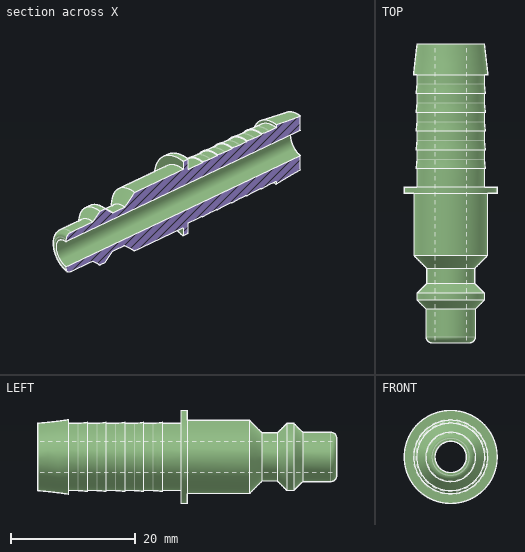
import cadquery as cq
import math

total_length = 48.0
bore_radius = 2.5

stem_radius = 5.4
barb_length = 5.0
barb_radius = 6.0
rib_count = 5
rib_length = 1.5
rib_radius = 5.55
first_rib_start = 6.5
last_rib_end = 20.0
rib_pitch = (last_rib_end - rib_length - first_rib_start) / (rib_count - 1)

flange_start = 23.0
flange_thickness = 1.0
flange_radius = 7.5
body_radius = 5.9
body_end = 34.0

neck_radius = 3.9
collar_radius = 5.4
collar_start = 40.0
collar_width = 1.1
tip_radius = 4.0
tip_rounding = 1.0

flange_end = flange_start + flange_thickness
neck_start = body_end + body_radius - neck_radius
neck_end = collar_start - (collar_radius - neck_radius)
collar_end = collar_start + collar_width
tip_start = collar_end + collar_radius - tip_radius


def profile_point(radius, station):
    """Point of the half section, with the part centred along Y."""
    return (radius, total_length / 2 - station)


def hose_tail_points():
    """Outer outline from the hose end to the flange: one barb, then saw-tooth ribs."""
    outline = [
        (stem_radius, 0),
        (barb_radius, barb_length),
        (stem_radius, barb_length),
    ]
    for index in range(rib_count):
        rib_start = first_rib_start + index * rib_pitch
        rib_end = rib_start + rib_length
        outline += [(stem_radius, rib_start), (rib_radius, rib_end), (stem_radius, rib_end)]
    outline.append((stem_radius, flange_start))
    return outline


def plug_points():
    """Outer outline from the flange to the start of the tip rounding."""
    return [
        (flange_radius, flange_start),
        (flange_radius, flange_end),
        (body_radius, flange_end),
        (body_radius, body_end),
        (neck_radius, neck_start),
        (neck_radius, neck_end),
        (collar_radius, collar_start),
        (collar_radius, collar_end),
        (tip_radius, tip_start),
        (tip_radius, total_length - tip_rounding),
    ]


outline = [(bore_radius, 0)] + hose_tail_points() + plug_points()
arc_inset = tip_rounding * (1 - math.sqrt(0.5))
half_section = (
    cq.Workplane("XY")
    .polyline([profile_point(radius, station) for radius, station in outline])
    .threePointArc(
        profile_point(tip_radius - arc_inset, total_length - arc_inset),
        profile_point(tip_radius - tip_rounding, total_length),
    )
    .lineTo(*profile_point(bore_radius, total_length))
    .close()
)
result = half_section.revolve(360, (0, 0, 0), (0, 1, 0))